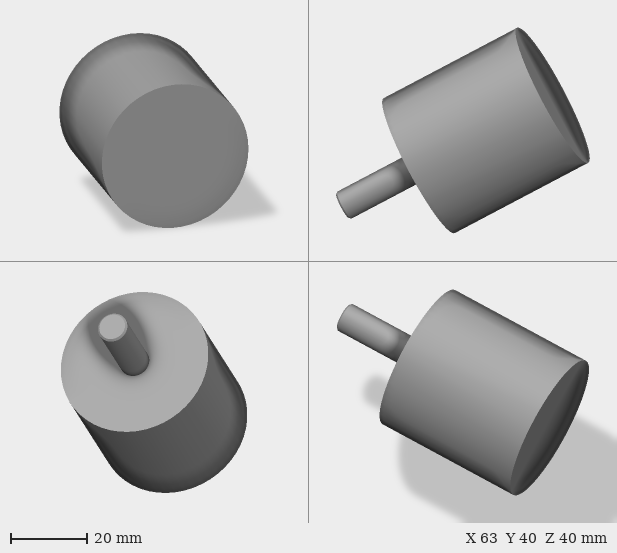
import cadquery as cq

total_length = 63.0
body_diameter = 40.0
body_length = 40.0
stud_diameter = 8.0
stud_chamfer = 0.5

stud_length = total_length - body_length

stud = (
    cq.Workplane("YZ")
    .circle(stud_diameter / 2)
    .extrude(stud_length)
    .faces("<X")
    .chamfer(stud_chamfer)
)

body = (
    cq.Workplane("YZ")
    .workplane(offset=stud_length)
    .circle(body_diameter / 2)
    .extrude(body_length)
)

result = body.union(stud)